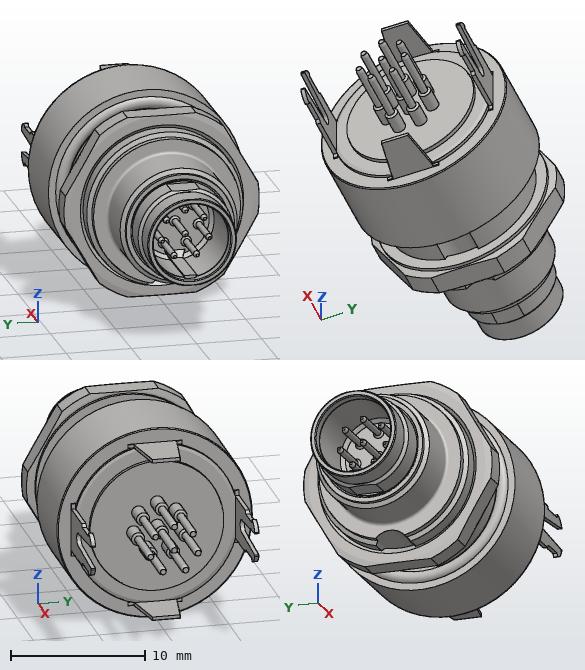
import cadquery as cq
import math


NOSE_R = 3.4
NOSE_RIM_R = 3.32
NOSE_END_X = 1.8
COLLAR_R = 3.65
COLLAR_CHAMFER = 0.25
COLLAR_END_X = 3.7
NOSE_FLAT_Z = 3.35
COLLAR_FLAT_Z = 3.5

LIP_R = 8.3 / 2
LIP_END_X = 4.03
COLLAR_GAP_R = 3.8
COLLAR_GAP_DEPTH = 0.14
SHELL_R = 9 / 2
SHELL_CHAMFER_LENGTH = 0.2
FLANGE_X = 7.88
FLANGE_FILLET = 0.22
FLANGE_R = 5.65
FLANGE_END_X = 8.4
THREAD_R = 12 / 2
THREAD_CHAMFER_LENGTH = 0.15
KEYWAY_R = 1.53
KEYWAY_CENTER_Z = -6.55

NUT_X = 9.45
NUT_HEX_LENGTH = 1.77
NUT_ACROSS_FLATS = 14.03
NUT_CORNER_R = 15 / 2
NUT_EDGE_BEVEL = 0.08
NUT_BORE_R = 5.7
NUT_COUNTERSINK_R = 6.27
WASHER_R = 6.87
WASHER_LENGTH = 0.27

HOUSING_R = 15 / 2
HOUSING_X = 14.45
HOUSING_END_X = 20.85
HOUSING_CHAMFER = 0.08
SEAL_TUBE_R = 0.5
SEAL_PROTRUSION = 0.3
PLATE_R = 6.35
PLATE_CHAMFER_R = 0.27
PLATE_CHAMFER_LENGTH = 0.08
PLATE_END_X = 21.17
INSERT_R = 10.25 / 2
INSERT_END_X = 21.5

MOUTH_R = 6.1 / 2
MOUTH_EDGE_CHAMFER = 0.08
MOUTH_DEPTH = 0.75
BORE_R = 2.95
FLOOR_CHAMFER = 0.3
FLOOR_X = 5.45

KEY_FRONT_X = 0.55
KEY_TOP_Z = -2.72
KEY_TOP_HALF = 0.5
KEY_ROOT_HALF = 0.3
KEY_RAMP_LENGTH = 0.5
KEY_RAMP_TOP_Z = -2.25
KEY_RAMP_TOP_HALF = 0.8

RING_PINS = 7
PIN_PITCH_ANGLE = 50.7
PIN_CIRCLE_R = 1.85
FRONT_PIN_R = 0.5 / 2
FRONT_PIN_TIP_X = 1.85
FRONT_PIN_TIP_R = 0.1
FRONT_PIN_TAPER = 0.35
PIN_SEAT_R = 0.4
PIN_SEAT_HEIGHT = 0.15
REAR_PIN_R = 0.6 / 2
REAR_PIN_END_X = 27.1
REAR_PIN_TIP_R = 0.22
REAR_PIN_TIP_LENGTH = 0.27
SLEEVE_R = 1.0 / 2
SLEEVE_END_X = 23.05
SLEEVE_CHAMFER_LENGTH = 0.1

TAB_OUTER_Z = 6.38
TAB_THICKNESS = 0.27
TAB_END_X = 24.5
TAB_ROOT_HALF = 1.6
TAB_END_HALF = 1.05

FORK_OUTER_Y = 6.43
FORK_THICKNESS = 0.33
FORK_TIP_X = 27.25
FORK_HALF = 1.65
FORK_WAIST_HALF = 1.42
FORK_WAIST_X = 24.23
FORK_WAIST_BEVEL = 0.22
FORK_BARB_X = 26.27
FORK_BARB_LEAN = 0.08
FORK_NOSE_MID = (26.95, 1.4)
FORK_NOSE_HALF = 0.95
SLOT_MOUTH_HALF = 0.85
SLOT_R = 0.5
SLOT_CENTER_X = 23.14

SHOULDER_HALF = 2.07
SHOULDER_LENGTH = 0.1

EMBED = 0.27


def solid_of_revolution(contour):
    """Revolve an outer (x, radius) contour, closed along the X axis, around X."""
    start_x = contour[0][0]
    end_x = contour[-1][0]
    outline = [(start_x, 0)] + contour + [(end_x, 0)]
    return cq.Workplane("XY").polyline(outline).close().revolve(360, (0, 0, 0), (1, 0, 0))


def cylinder(start_x, end_x, radius, y=0, z=0):
    """Cylinder parallel to X."""
    return cq.Workplane("YZ", origin=(start_x, y, z)).circle(radius).extrude(end_x - start_x)


def flatted(section, start_x, end_x, flat_z):
    """Limit a section to the height between two flats at +/- flat_z."""
    length = end_x - start_x
    slab = cq.Workplane("XY").box(length, 2 * HOUSING_R, 2 * flat_z)
    return section.intersect(slab.translate((start_x + length / 2, 0, 0)))


def make_nose():
    rim_chamfer = NOSE_R - NOSE_RIM_R
    nose = solid_of_revolution([
        (0, NOSE_RIM_R),
        (rim_chamfer, NOSE_R),
        (NOSE_END_X, NOSE_R),
    ])
    collar = solid_of_revolution([
        (NOSE_END_X, COLLAR_R - COLLAR_CHAMFER),
        (NOSE_END_X + COLLAR_CHAMFER, COLLAR_R),
        (COLLAR_END_X, COLLAR_R),
    ])
    nose = flatted(nose, 0, NOSE_END_X, NOSE_FLAT_Z)
    return nose.union(flatted(collar, NOSE_END_X, COLLAR_END_X, COLLAR_FLAT_Z))


def make_shell():
    """Lip, smooth shell and threaded barrel, with a narrow gap around the collar and a keyway below."""
    fillet_mid = FLANGE_FILLET * (1 - math.sqrt(0.5))
    shell = (
        cq.Workplane("XY")
        .moveTo(COLLAR_END_X, 0)
        .lineTo(COLLAR_END_X, COLLAR_R)
        .lineTo(COLLAR_END_X + COLLAR_GAP_DEPTH, COLLAR_R)
        .lineTo(COLLAR_END_X + COLLAR_GAP_DEPTH, COLLAR_GAP_R)
        .lineTo(COLLAR_END_X, COLLAR_GAP_R)
        .lineTo(COLLAR_END_X, LIP_R)
        .lineTo(LIP_END_X, LIP_R)
        .lineTo(LIP_END_X + SHELL_CHAMFER_LENGTH, SHELL_R)
        .lineTo(FLANGE_X - FLANGE_FILLET, SHELL_R)
        .threePointArc(
            (FLANGE_X - fillet_mid, SHELL_R + fillet_mid),
            (FLANGE_X, SHELL_R + FLANGE_FILLET),
        )
        .lineTo(FLANGE_X, FLANGE_R)
        .lineTo(FLANGE_END_X, FLANGE_R)
        .lineTo(FLANGE_END_X + THREAD_CHAMFER_LENGTH, THREAD_R)
        .lineTo(HOUSING_X, THREAD_R)
        .lineTo(HOUSING_X, 0)
        .close()
        .revolve(360, (0, 0, 0), (1, 0, 0))
    )
    return shell.cut(cylinder(FLANGE_X, HOUSING_X, KEYWAY_R, z=KEYWAY_CENTER_Z))


def make_nut():
    hex_end_x = NUT_X + NUT_HEX_LENGTH
    washer_end_x = hex_end_x + WASHER_LENGTH
    flat_r = NUT_ACROSS_FLATS / 2
    corner_to_corner = NUT_ACROSS_FLATS / math.cos(math.pi / 6)
    nut = cq.Workplane("YZ", origin=(NUT_X, 0, 0)).polygon(6, corner_to_corner).extrude(NUT_HEX_LENGTH)
    nut = nut.intersect(solid_of_revolution([
        (NUT_X, flat_r),
        (NUT_X + NUT_EDGE_BEVEL, NUT_CORNER_R),
        (hex_end_x - NUT_EDGE_BEVEL, NUT_CORNER_R),
        (hex_end_x, flat_r),
    ]))
    nut = nut.union(cylinder(hex_end_x, washer_end_x, WASHER_R))
    countersink_depth = NUT_COUNTERSINK_R - NUT_BORE_R
    return nut.cut(solid_of_revolution([
        (NUT_X, NUT_COUNTERSINK_R),
        (NUT_X + countersink_depth, NUT_BORE_R),
        (washer_end_x, NUT_BORE_R),
    ]))


def make_housing():
    housing = solid_of_revolution([
        (HOUSING_X, HOUSING_R),
        (HOUSING_END_X - HOUSING_CHAMFER, HOUSING_R),
        (HOUSING_END_X, HOUSING_R - HOUSING_CHAMFER),
    ])
    seal_x = HOUSING_X - SEAL_PROTRUSION + SEAL_TUBE_R
    seal_ring_r = THREAD_R + SEAL_TUBE_R
    seal = (
        cq.Workplane("XY")
        .moveTo(seal_x, seal_ring_r)
        .circle(SEAL_TUBE_R)
        .revolve(360, (0, 0, 0), (1, 0, 0))
    )
    plate = solid_of_revolution([
        (HOUSING_END_X, PLATE_R),
        (PLATE_END_X - PLATE_CHAMFER_LENGTH, PLATE_R),
        (PLATE_END_X, PLATE_R - PLATE_CHAMFER_R),
    ])
    insert = cylinder(PLATE_END_X, INSERT_END_X, INSERT_R)
    return housing.union(seal).union(plate).union(insert)


def make_socket():
    """Cavity with a short straight mouth and a bevel around the floor."""
    return solid_of_revolution([
        (0, MOUTH_R),
        (MOUTH_EDGE_CHAMFER, MOUTH_R - MOUTH_EDGE_CHAMFER),
        (MOUTH_DEPTH, MOUTH_R - MOUTH_EDGE_CHAMFER),
        (MOUTH_DEPTH, BORE_R),
        (FLOOR_X - FLOOR_CHAMFER, BORE_R),
        (FLOOR_X, BORE_R - FLOOR_CHAMFER),
    ])


def make_key():
    """Dovetail key, narrow at the wall, that widens and rises in a ramp up to the floor."""
    root_z = -(NOSE_R + MOUTH_R) / 2
    ramp_x = FLOOR_X - KEY_RAMP_LENGTH

    def outline(top_half, top_z):
        return [
            (-top_half, top_z),
            (top_half, top_z),
            (KEY_ROOT_HALF, root_z),
            (-KEY_ROOT_HALF, root_z),
        ]

    section = outline(KEY_TOP_HALF, KEY_TOP_Z)
    floor_section = outline(KEY_RAMP_TOP_HALF, KEY_RAMP_TOP_Z)
    bar = (
        cq.Workplane("YZ", origin=(KEY_FRONT_X, 0, 0))
        .polyline(section)
        .close()
        .extrude(FLOOR_X - KEY_FRONT_X)
    )
    ramp = (
        cq.Workplane("YZ", origin=(ramp_x, 0, 0))
        .polyline(section)
        .close()
        .workplane(offset=KEY_RAMP_LENGTH)
        .polyline(floor_section)
        .close()
        .loft(ruled=True)
    )
    return bar.union(ramp)


def make_contact():
    """Front and rear halves of one contact, centred on the X axis."""
    seat_x = FLOOR_X - PIN_SEAT_HEIGHT
    front = solid_of_revolution([
        (FRONT_PIN_TIP_X, FRONT_PIN_TIP_R),
        (FRONT_PIN_TIP_X + FRONT_PIN_TAPER, FRONT_PIN_R),
        (seat_x, FRONT_PIN_R),
        (FLOOR_X, PIN_SEAT_R),
        (FLOOR_X + EMBED, PIN_SEAT_R),
    ])
    rear = solid_of_revolution([
        (INSERT_END_X - EMBED, SLEEVE_R),
        (SLEEVE_END_X, SLEEVE_R),
        (SLEEVE_END_X + SLEEVE_CHAMFER_LENGTH, REAR_PIN_R),
        (REAR_PIN_END_X - REAR_PIN_TIP_LENGTH, REAR_PIN_R),
        (REAR_PIN_END_X, REAR_PIN_TIP_R),
    ])
    return front, rear


def contact_positions():
    """(y, z) of the centre contact and of the ring, whose wider gap is above the key."""
    positions = [(0, 0)]
    for index in range(RING_PINS):
        angle = math.radians(PIN_PITCH_ANGLE * (index - RING_PINS // 2))
        positions.append((PIN_CIRCLE_R * math.sin(angle), PIN_CIRCLE_R * math.cos(angle)))
    return positions


def make_tapered_tab():
    """Upper ground tab."""
    root_x = HOUSING_END_X - EMBED
    shoulder_x = HOUSING_END_X + SHOULDER_LENGTH
    return (
        cq.Workplane("XY", origin=(0, 0, TAB_OUTER_Z - TAB_THICKNESS))
        .polyline([
            (root_x, SHOULDER_HALF),
            (shoulder_x, SHOULDER_HALF),
            (shoulder_x, TAB_ROOT_HALF),
            (PLATE_END_X, TAB_ROOT_HALF),
            (TAB_END_X, TAB_END_HALF),
            (TAB_END_X, -TAB_END_HALF),
            (PLATE_END_X, -TAB_ROOT_HALF),
            (shoulder_x, -TAB_ROOT_HALF),
            (shoulder_x, -SHOULDER_HALF),
            (root_x, -SHOULDER_HALF),
        ])
        .close()
        .extrude(TAB_THICKNESS)
    )


def make_fork_tab():
    """Forked tab on the -Y side, mirrored about its centreline."""
    root_x = HOUSING_END_X - EMBED
    shoulder_x = HOUSING_END_X + SHOULDER_LENGTH
    half_fork = (
        cq.Workplane("XZ", origin=(0, -FORK_OUTER_Y + FORK_THICKNESS, 0))
        .moveTo(root_x, 0)
        .lineTo(root_x, SHOULDER_HALF)
        .lineTo(shoulder_x, SHOULDER_HALF)
        .lineTo(shoulder_x, FORK_HALF)
        .lineTo(FORK_WAIST_X, FORK_HALF)
        .lineTo(FORK_WAIST_X + FORK_WAIST_BEVEL, FORK_WAIST_HALF)
        .lineTo(FORK_BARB_X, FORK_WAIST_HALF)
        .lineTo(FORK_BARB_X + FORK_BARB_LEAN, FORK_HALF)
        .threePointArc(FORK_NOSE_MID, (FORK_TIP_X, FORK_NOSE_HALF))
        .lineTo(FORK_TIP_X, SLOT_MOUTH_HALF)
        .lineTo(SLOT_CENTER_X, SLOT_R)
        .threePointArc(
            (SLOT_CENTER_X - SLOT_R * math.sqrt(0.5), SLOT_R * math.sqrt(0.5)),
            (SLOT_CENTER_X - SLOT_R, 0),
        )
        .close()
        .extrude(FORK_THICKNESS)
    )
    return half_fork.union(half_fork.mirror("XY"))


body = make_nose().union(make_shell()).union(make_nut()).union(make_housing())
body = body.cut(make_socket()).union(make_key())

front_contact, rear_contact = make_contact()
for contact_y, contact_z in contact_positions():
    body = body.union(front_contact.translate((0, contact_y, contact_z)))
    body = body.union(rear_contact.translate((0, contact_y, contact_z)))

tapered_tab = make_tapered_tab()
fork_tab = make_fork_tab()
body = body.union(tapered_tab).union(tapered_tab.mirror("XY"))
body = body.union(fork_tab).union(fork_tab.mirror("XZ"))

result = body